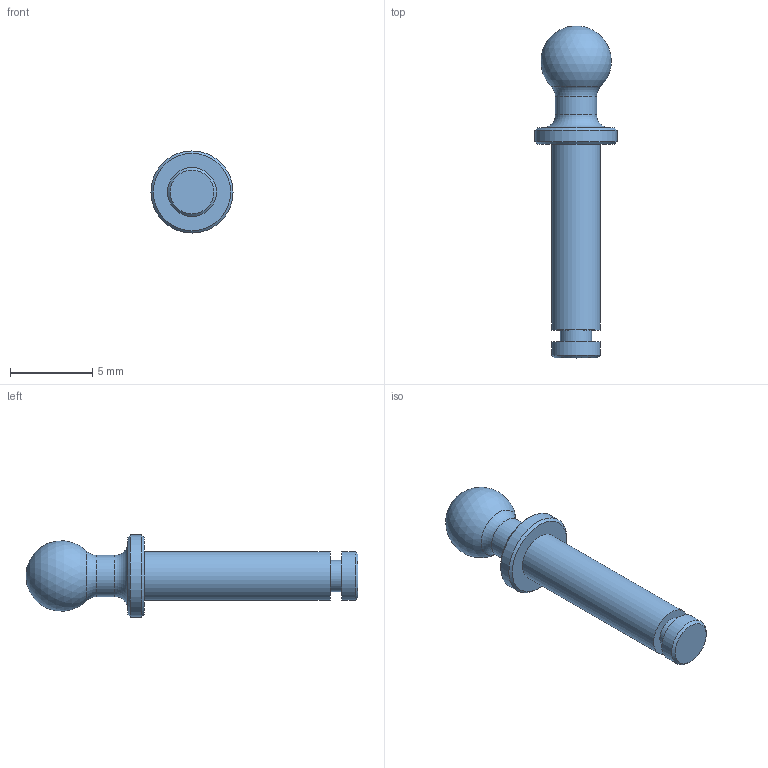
import cadquery as cq
import math


shaft_diameter = 2.97
shaft_length = 13.0
shaft_chamfer = 0.15

groove_diameter = 1.9
groove_width = 0.7
end_land_length = 1.0

flange_diameter = 5.0
flange_thickness = 1.0
flange_chamfer = 0.15

neck_diameter = 2.5
neck_flange_fillet = 0.8
neck_ball_fillet = 0.9

ball_diameter = 4.3
overall_length = 20.2

ball_radius = ball_diameter / 2
neck_radius = neck_diameter / 2
ball_tip_y = overall_length - shaft_length
ball_center_y = ball_tip_y - ball_radius


def cylinder(diameter, start_y, length):
    """Solid cylinder on the Y axis, running toward +Y from start_y."""
    plane = cq.Workplane(cq.Plane(origin=(0, start_y, 0), xDir=(1, 0, 0), normal=(0, 1, 0)))
    return plane.circle(diameter / 2).extrude(length)


def make_shaft():
    """Plain shaft with a chamfered free end."""
    return cylinder(shaft_diameter, -shaft_length, shaft_length).faces("<Y").chamfer(shaft_chamfer)


def cut_groove(body):
    """Cut the retaining ring groove near the free end of the shaft."""
    groove_start_y = -shaft_length + end_land_length
    ring = cylinder(flange_diameter, groove_start_y, groove_width)
    core = cylinder(groove_diameter, groove_start_y, groove_width)
    return body.cut(ring.cut(core))


def make_flange():
    """Flange disc with both rims chamfered."""
    return cylinder(flange_diameter, 0, flange_thickness).edges().chamfer(flange_chamfer)


def make_neck_and_ball():
    """Neck flaring into the flange below and blending tangentially into the ball above."""
    flare_radius = neck_radius + neck_flange_fillet
    flare_top_y = flange_thickness + neck_flange_fillet
    flare_mid_offset = neck_flange_fillet * math.sqrt(0.5)
    flare_mid = (flare_radius - flare_mid_offset, flare_top_y - flare_mid_offset)

    blend_center_radius = neck_radius + neck_ball_fillet
    center_distance = ball_radius + neck_ball_fillet
    blend_angle = math.acos(blend_center_radius / center_distance)
    blend_start_y = ball_center_y - center_distance * math.sin(blend_angle)
    blend_mid = (
        blend_center_radius - neck_ball_fillet * math.cos(blend_angle / 2),
        blend_start_y + neck_ball_fillet * math.sin(blend_angle / 2),
    )
    blend_end = (
        ball_radius * math.cos(blend_angle),
        ball_center_y - ball_radius * math.sin(blend_angle),
    )

    return (
        cq.Workplane("XY")
        .moveTo(0, flange_thickness)
        .lineTo(flare_radius, flange_thickness)
        .threePointArc(flare_mid, (neck_radius, flare_top_y))
        .lineTo(neck_radius, blend_start_y)
        .threePointArc(blend_mid, blend_end)
        .threePointArc((ball_radius, ball_center_y), (0, ball_tip_y))
        .close()
        .revolve(360, (0, 0, 0), (0, 1, 0))
    )


shaft = cut_groove(make_shaft())
result = shaft.union(make_flange()).union(make_neck_and_ball())